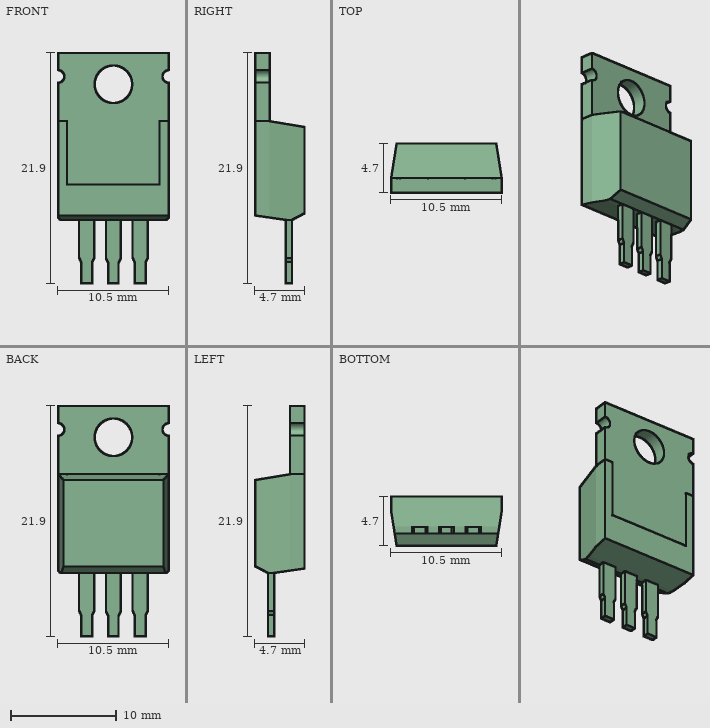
import cadquery as cq

width = 10.53
depth = 4.7
height = 21.9

tab_thickness = 1.4
tongue_width = 8.78
tongue_bottom = 9.41
hole_diameter = 3.55
hole_height = 18.91
notch_radius = 0.6
notch_height = 19.65

housing_top = 15.4
housing_back_top = 14.86
housing_front_bottom = 6.44
housing_bottom = 6.02
housing_back_bottom = 6.65
side_taper = 0.53

lead_pitch = 2.55
lead_front = 2.9
lead_thickness = 0.61
lead_back = lead_front + lead_thickness
outer_lead_width = 1.47
outer_tip_width = 1.07
outer_tip_top = 2.01
outer_shoulder = 2.43
middle_lead_width = 1.42
middle_tip_width = 1.0
middle_tip_top = 1.95
middle_shoulder = 2.36


def box(size_x, y_min, y_max, z_min, z_max):
    """Block centred on X = 0, between the given Y and Z limits."""
    return cq.Workplane("XY").box(
        size_x, y_max - y_min, z_max - z_min, centered=(True, False, False)
    ).translate((0, y_min, z_min))


def cylinder_along_y(x, z, radius):
    """Cutter that passes through the full tab thickness."""
    return (
        cq.Workplane("XZ")
        .center(x, z)
        .circle(radius)
        .extrude(-tab_thickness)
    )


def make_tongue():
    return box(tongue_width, 0, tab_thickness, tongue_bottom, housing_top)


def make_tab():
    head = box(width, 0, tab_thickness, housing_top, height)
    tab = head.union(make_tongue())
    tab = tab.cut(cylinder_along_y(0, hole_height, hole_diameter / 2))
    for side in (-1, 1):
        tab = tab.cut(cylinder_along_y(side * width / 2, notch_height, notch_radius))
    return tab


def make_housing():
    side_profile = (
        cq.Workplane("YZ")
        .polyline([
            (0, housing_front_bottom),
            (0, housing_top),
            (tab_thickness, housing_top),
            (depth, housing_back_top),
            (depth, housing_back_bottom),
            (lead_back, housing_bottom),
            (lead_front, housing_bottom),
        ])
        .close()
        .extrude(width / 2, both=True)
    )
    half_width = width / 2
    half_back = half_width - side_taper
    plan_outline = (
        cq.Workplane("XY")
        .polyline([
            (-half_width, 0),
            (half_width, 0),
            (half_width, tab_thickness),
            (half_back, depth),
            (-half_back, depth),
            (-half_width, tab_thickness),
        ])
        .close()
        .extrude(height)
    )
    return side_profile.intersect(plan_outline).cut(make_tongue())


def make_lead(x, lead_width, tip_width, tip_top, shoulder):
    """Flat lead at x that narrows from the shoulder down to its tip."""
    half_lead = lead_width / 2
    half_tip = tip_width / 2
    return (
        cq.Workplane("XZ")
        .polyline([
            (-half_tip, 0),
            (half_tip, 0),
            (half_tip, tip_top),
            (half_lead, shoulder),
            (half_lead, housing_bottom),
            (-half_lead, housing_bottom),
            (-half_lead, shoulder),
            (-half_tip, tip_top),
        ])
        .close()
        .extrude(-lead_thickness)
        .translate((x, lead_front, 0))
    )


tab = make_tab()
housing = make_housing()
middle_lead = make_lead(0, middle_lead_width, middle_tip_width, middle_tip_top, middle_shoulder)
outer_leads = [
    make_lead(side * lead_pitch, outer_lead_width, outer_tip_width, outer_tip_top, outer_shoulder)
    for side in (-1, 1)
]

result = cq.Compound.makeCompound([
    tab.val(),
    housing.val(),
    middle_lead.val(),
    *[lead.val() for lead in outer_leads],
])